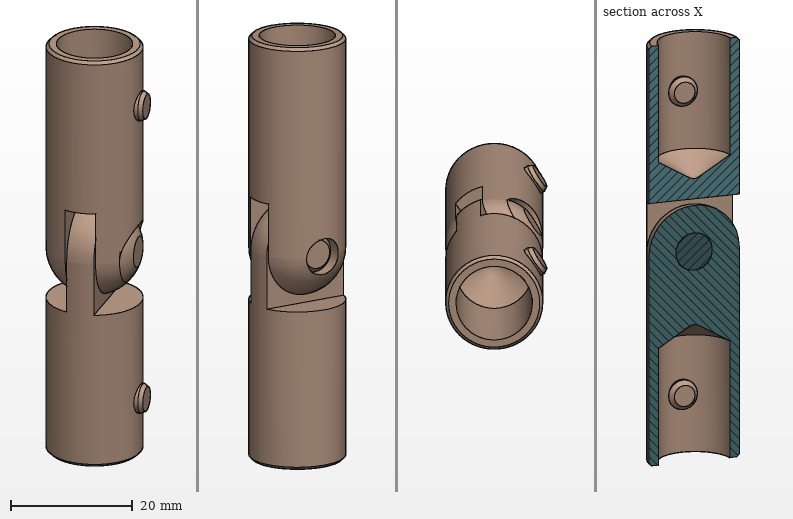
import cadquery as cq
import math

overall_length = 72.0
body_diameter = 16.0
end_chamfer = 0.5

bore_diameter = 12.5
bore_depth = 20.0
drill_tip_angle = 118.0

slot_width = 5.25
tongue_width = 4.7
swing_clearance = 1.0

pin_diameter = 6.3
pin_chamfer = 0.7
pin_recess = 2.1
head_diameter = 10.5
head_seat_x = 4.0
head_face_x = 7.55

screw_diameter = 5.05
screw_length = 4.0
screw_projection = 1.0
screw_inset = 10.0
screw_point_chamfer = 0.7
screw_outer_chamfer_length = 0.7
screw_outer_chamfer_depth = 0.4

half_length = overall_length / 2
body_radius = body_diameter / 2
bore_radius = bore_diameter / 2
pin_radius = pin_diameter / 2
head_radius = head_diameter / 2
shoulder_height = body_radius + swing_clearance
screw_height = half_length - screw_inset
screw_outer_x = body_radius + screw_projection
screw_inner_x = screw_outer_x - screw_length
pin_end_x = pin_recess - body_radius


def x_cylinder(radius, start_x, end_x, z=0.0):
    """Cylinder along X between two X positions."""
    return (
        cq.Workplane("YZ", origin=(start_x, 0, z))
        .circle(radius)
        .extrude(end_x - start_x)
    )


def round_ended_bar():
    """Upright bar from the pivot to the top end, with a spherical lower end around the pivot."""
    bar = cq.Workplane("XY").circle(body_radius).extrude(half_length)
    bar = bar.faces(">Z").chamfer(end_chamfer)
    return bar.union(cq.Workplane("XY").sphere(body_radius))


def shaft_socket():
    """Blind bore in the top end, with the cone left by the drill."""
    floor_z = half_length - bore_depth
    tip_length = bore_radius / math.tan(math.radians(drill_tip_angle / 2))
    return (
        cq.Workplane("XZ")
        .moveTo(0, half_length)
        .lineTo(bore_radius, half_length)
        .lineTo(bore_radius, floor_z)
        .lineTo(0, floor_z - tip_length)
        .close()
        .revolve(360, (0, 0, 0), (0, 1, 0))
    )


def screw_hole():
    """Radial hole from the socket out through the +X wall."""
    return x_cylinder(screw_diameter / 2, 0, screw_outer_x, screw_height)


def make_fork():
    """Upper half of the joint: two cheeks either side of a slot, crossed by the pin hole."""
    slot = cq.Workplane("XY").box(slot_width, body_diameter, 2 * shoulder_height)
    pin_hole = x_cylinder(pin_radius, -body_radius, body_radius)
    head_recess = x_cylinder(head_radius, head_seat_x, body_radius)
    return (
        round_ended_bar()
        .cut(slot)
        .cut(pin_hole)
        .cut(head_recess)
        .cut(shaft_socket())
        .cut(screw_hole())
    )


def make_tongue():
    """Lower half of the joint: a flat round-ended tongue that turns on the pin."""
    side_width = body_radius - tongue_width / 2
    side_offset = (body_radius + tongue_width / 2) / 2
    sides = (
        cq.Workplane("XY")
        .pushPoints([(-side_offset, 0), (side_offset, 0)])
        .box(side_width, body_diameter, 2 * shoulder_height)
    )
    bar = round_ended_bar().cut(sides).cut(shaft_socket())
    bar = bar.rotate((0, 0, 0), (1, 0, 0), 180)
    pin_hole = x_cylinder(pin_radius, -tongue_width / 2, tongue_width / 2)
    return bar.cut(pin_hole).cut(screw_hole().mirror("XY"))


def dome_point(x):
    """Point of the pivot sphere's outline at a given X, as (x, distance from the X axis)."""
    return (x, math.sqrt(body_radius**2 - x**2))


def make_pin():
    """Pivot pin with a chamfered -X end and a flat-faced spherical head on the +X side."""
    rim_x = math.sqrt(body_radius**2 - head_radius**2)
    return (
        cq.Workplane("XY")
        .moveTo(pin_end_x, 0)
        .lineTo(pin_end_x, pin_radius - pin_chamfer)
        .lineTo(pin_end_x + pin_chamfer, pin_radius)
        .lineTo(head_seat_x, pin_radius)
        .lineTo(head_seat_x, head_radius)
        .lineTo(rim_x, head_radius)
        .threePointArc(dome_point((rim_x + head_face_x) / 2), dome_point(head_face_x))
        .lineTo(head_face_x, 0)
        .close()
        .revolve(360, (0, 0, 0), (1, 0, 0))
    )


def make_set_screw(z):
    """Headless screw along X with a conical point inside the socket."""
    return (
        x_cylinder(screw_diameter / 2, screw_inner_x, screw_outer_x, z)
        .faces("<X")
        .chamfer(screw_point_chamfer)
        .faces(">X")
        .chamfer(screw_outer_chamfer_length, screw_outer_chamfer_depth)
    )


fork = make_fork().solids()
tongue = make_tongue().solids()
pin = make_pin()
set_screws = [make_set_screw(z) for z in (screw_height, -screw_height)]

result = cq.Compound.makeCompound(
    [fork.val(), tongue.val(), pin.val(), *[screw.val() for screw in set_screws]]
)